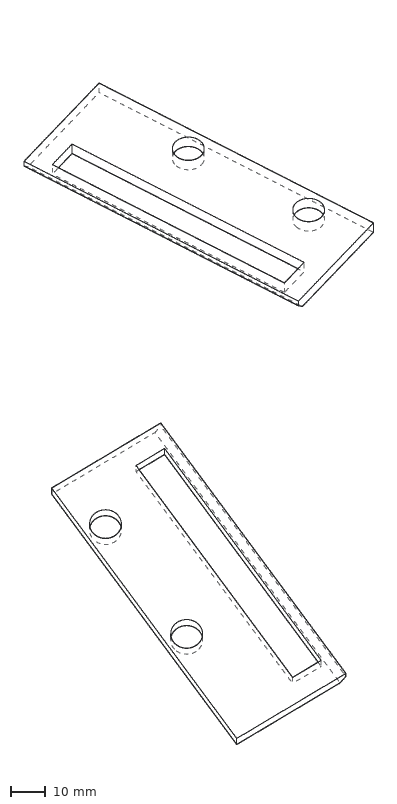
import cadquery as cq

plate_length = 95.8
plate_width = 37.5
plate_thickness = 4.0

bevel_size = 2.0

window_length = 81.0
window_width = 9.8
window_front_margin = 3.6

hole_diameter = 9.1
hole_spacing = 42.0
hole_back_margin = 6.5
first_hole_x = 35.7


def make_plate():
    """Flat rectangular plate with a bevelled lower front edge."""
    plate = cq.Workplane("XY").box(plate_length, plate_width, plate_thickness, centered=False)
    return plate.faces("<Y").edges("<Z").chamfer(bevel_size)


def make_window():
    """Cutter for the long rectangular window."""
    side_margin = (plate_length - window_length) / 2
    window = cq.Workplane("XY").box(window_length, window_width, plate_thickness, centered=False)
    return window.translate((side_margin, window_front_margin, 0))


def make_holes():
    """Cutters for the two round through holes."""
    hole_y = plate_width - hole_back_margin
    centres = [(first_hole_x, hole_y), (first_hole_x + hole_spacing, hole_y)]
    return cq.Workplane("XY").pushPoints(centres).circle(hole_diameter / 2).extrude(plate_thickness)


result = make_plate().cut(make_window()).cut(make_holes())